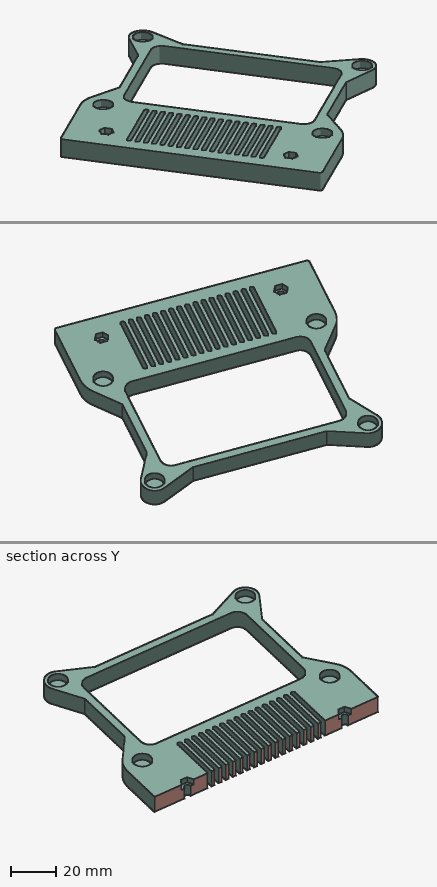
import cadquery as cq
import math

WIDTH = 120.0
LENGTH = 108.1
THICKNESS = 9.0
HALF_WIDTH = WIDTH / 2

POCKET_DIAMETER = 8.9
POCKET_DEPTH = 3.7
POCKET_X = 50.3
POCKET_PITCH_Y = 65.8

EAR_RADIUS = 6.2
REAR_POCKET_Y = LENGTH - EAR_RADIUS
FRONT_POCKET_Y = REAR_POCKET_Y - POCKET_PITCH_Y
EAR_REAR_END_X = 31.5
EAR_SIDE_END_Y = 84.8

WINDOW_HALF_WIDTH = 43.7
WINDOW_FRONT_Y = 42.0
WINDOW_REAR_Y = 96.2
WINDOW_CORNER_RADIUS = 5.0
RAIL_WIDTH = 4.0
RAIL_X = WINDOW_HALF_WIDTH + RAIL_WIDTH
RAIL_REAR_Y = WINDOW_REAR_Y + RAIL_WIDTH

SHOULDER_TOP_Y = 53.6
SHOULDER_CORNER_Y = 38.0
SHOULDER_RADIUS = 13.2
FRONT_CORNER_RADIUS = 1.2

SLOT_COUNT = 17
SLOT_SPAN = 60.8
SLOT_PITCH = SLOT_SPAN / (SLOT_COUNT - 1)
SLOT_WIDTH = 2.0
SLOT_FRONT_Y = 6.5
SLOT_REAR_Y = 36.8
SLOT_LENGTH = SLOT_REAR_Y - SLOT_FRONT_Y
SLOT_CENTER_Y = (SLOT_FRONT_Y + SLOT_REAR_Y) / 2

SCREW_X = 42.2
SCREW_Y = 12.5
SCREW_DIAMETER = 3.2
NUT_ACROSS_FLATS = 5.6
NUT_DEPTH = 3.0


def ear_tangent(point, side):
    """Point where a line from `point` touches the right ear's circle.

    `side` is +1 or -1: counterclockwise or clockwise from the direction of `point`.
    """
    dx = point[0] - POCKET_X
    dy = point[1] - REAR_POCKET_Y
    angle = math.atan2(dy, dx) + side * math.acos(EAR_RADIUS / math.hypot(dx, dy))
    return (
        POCKET_X + EAR_RADIUS * math.cos(angle),
        REAR_POCKET_Y + EAR_RADIUS * math.sin(angle),
    )


def make_half_plate():
    """Right half of the outer shape, with its rounded corners."""
    side_end = (RAIL_X, EAR_SIDE_END_Y)
    rear_end = (EAR_REAR_END_X, RAIL_REAR_Y)
    ear_tip = EAR_RADIUS * math.sqrt(0.5)
    half = (
        cq.Workplane("XY")
        .moveTo(0, 0)
        .lineTo(HALF_WIDTH, 0)
        .lineTo(HALF_WIDTH, SHOULDER_CORNER_Y)
        .lineTo(RAIL_X, SHOULDER_TOP_Y)
        .lineTo(*side_end)
        .lineTo(*ear_tangent(side_end, 1))
        .threePointArc(
            (POCKET_X + ear_tip, REAR_POCKET_Y + ear_tip),
            ear_tangent(rear_end, -1),
        )
        .lineTo(*rear_end)
        .lineTo(0, RAIL_REAR_Y)
        .close()
        .extrude(THICKNESS)
    )
    corners = [
        (HALF_WIDTH, 0, FRONT_CORNER_RADIUS),
        (HALF_WIDTH, SHOULDER_CORNER_Y, SHOULDER_RADIUS),
    ]
    for x, y, radius in corners:
        corner = cq.NearestToPointSelector((x, y, THICKNESS / 2))
        half = half.edges("|Z").edges(corner).fillet(radius)
    return half


def make_window():
    window_length = WINDOW_REAR_Y - WINDOW_FRONT_Y
    return (
        cq.Workplane("XY")
        .center(0, WINDOW_FRONT_Y + window_length / 2)
        .rect(2 * WINDOW_HALF_WIDTH, window_length)
        .extrude(THICKNESS)
        .edges("|Z")
        .fillet(WINDOW_CORNER_RADIUS)
    )


def make_pockets():
    centers = [(x, y) for x in (-POCKET_X, POCKET_X) for y in (FRONT_POCKET_Y, REAR_POCKET_Y)]
    return (
        cq.Workplane("XY", origin=(0, 0, THICKNESS))
        .pushPoints(centers)
        .circle(POCKET_DIAMETER / 2)
        .extrude(-POCKET_DEPTH)
    )


def make_slots():
    return (
        cq.Workplane("XY", origin=(0, SLOT_CENTER_Y, 0))
        .rarray(SLOT_PITCH, 1.2, SLOT_COUNT, 1)
        .slot2D(SLOT_LENGTH, SLOT_WIDTH, 90)
        .extrude(THICKNESS)
    )


def make_screw_holes():
    """Through holes and the nut recesses sunk into the top face above them."""
    centers = [(-SCREW_X, SCREW_Y), (SCREW_X, SCREW_Y)]
    nut_across_corners = NUT_ACROSS_FLATS / math.cos(math.pi / 6)
    holes = cq.Workplane("XY").pushPoints(centers).circle(SCREW_DIAMETER / 2).extrude(THICKNESS)
    recesses = (
        cq.Workplane("XY", origin=(0, 0, THICKNESS))
        .pushPoints(centers)
        .polygon(6, nut_across_corners)
        .extrude(-NUT_DEPTH)
    )
    return holes.union(recesses)


half_plate = make_half_plate()
plate = half_plate.union(half_plate.mirror("YZ")).clean()

result = (
    plate.cut(make_window())
    .cut(make_pockets())
    .cut(make_slots())
    .cut(make_screw_holes())
)